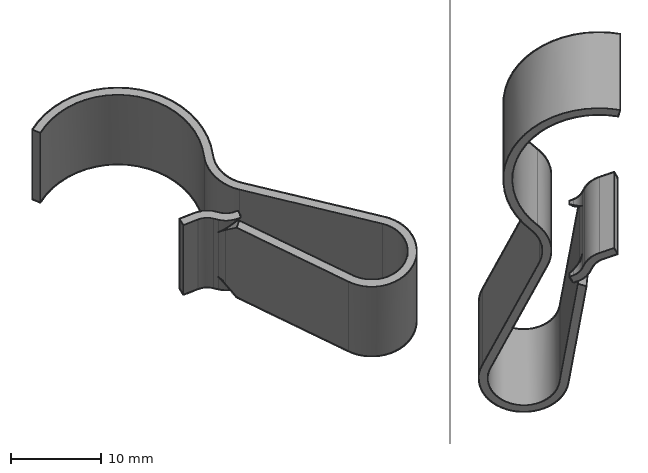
import cadquery as cq
import math

thickness = 1.0
width = 12.7
half = thickness / 2

hook_outer_radius = 10.65
hook_tip_angle = 9.6
back_top_y = 1.4
reverse_inner_radius = 4.55

overall_length = 46.0
loop_outer_radius = 5.0
arm_slope = 14.6
arm_length = 15.95

arm_bend_radius = 4.05
lip_flat_length = 0.55
lip_bend_radius = 2.85
lip_angle = 43.0
lip_tip_length = 1.8

ear_size = 2.3
ear_bend_radius = 2.6
ear_angle = 40.0
ear_tip_length = 0.55


def offset_point(point, heading, distance):
    """Point at a distance to the left of a heading in degrees."""
    angle = math.radians(heading + 90)
    return (point[0] + distance * math.cos(angle), point[1] + distance * math.sin(angle))


def advance(point, heading, length):
    """Point reached by moving straight along a heading."""
    return offset_point(point, heading - 90, length)


def bend(point, heading, radius, turn):
    """End point and heading of a centreline arc; positive turns go left."""
    side = math.copysign(radius, turn)
    centre = offset_point(point, heading, side)
    return offset_point(centre, heading + turn, -side), heading + turn


def make_strip(start, heading, segments):
    """Extrude a strip along (straight length, 0) and (bend radius, turn) segments.

    Returns the strip and the centreline point after each segment.
    """
    stations = [(start, heading)]
    middles = []
    for size, turn in segments:
        point, heading = stations[-1]
        if turn:
            middles.append(bend(point, heading, size, turn / 2))
            stations.append(bend(point, heading, size, turn))
        else:
            middles.append(None)
            stations.append((advance(point, heading, size), heading))

    def draw_edge(outline, ends, mids, side):
        for end, middle in zip(ends, mids):
            if middle:
                outline = outline.threePointArc(
                    offset_point(*middle, side), offset_point(*end, side))
            else:
                outline = outline.lineTo(*offset_point(*end, side))
        return outline

    outline = cq.Workplane("XY").moveTo(*offset_point(*stations[0], half))
    outline = draw_edge(outline, stations[1:], middles, half)
    outline = outline.lineTo(*offset_point(*stations[-1], -half))
    outline = draw_edge(outline, stations[-2::-1], middles[::-1], -half)
    return outline.close().extrude(width), [point for point, _ in stations[1:]]


hook_radius = hook_outer_radius - half
reverse_radius = reverse_inner_radius + half
centre_distance = hook_radius + reverse_radius
reverse_angle = math.asin((back_top_y + reverse_inner_radius) / centre_distance)
reverse_x = centre_distance * math.cos(reverse_angle)
reverse_turn = 90 - math.degrees(reverse_angle)

tip_reach = hook_outer_radius * math.cos(math.radians(hook_tip_angle))
loop_x = overall_length - tip_reach - loop_outer_radius
back_length = loop_x - reverse_x

hook_turn = 180 - hook_tip_angle - math.degrees(reverse_angle)
hook_start = advance((0, 0), 180 - hook_tip_angle, hook_radius)
clip, bend_points = make_strip(
    hook_start,
    90 - hook_tip_angle,
    [
        (hook_radius, -hook_turn),
        (reverse_radius, reverse_turn),
        (back_length, 0),
        (loop_outer_radius - half, -(180 + arm_slope)),
        (arm_length, 0),
        (arm_bend_radius, arm_slope),
        (lip_flat_length, 0),
        (lip_bend_radius, lip_angle),
        (lip_tip_length, 0),
    ],
)
ear_root = bend_points[5]

ear_zone_top = back_top_y - 2 * thickness
ear_zone_depth = 2 * loop_outer_radius


def corner_prism(edge_z, inward):
    """Right-angled corner at one strip edge, narrowing inward (+1 up, -1 down)."""
    root_x = ear_root[0]
    return (
        cq.Workplane("XZ", origin=(0, ear_zone_top, 0))
        .polyline([
            (root_x, edge_z),
            (root_x + ear_size, edge_z),
            (root_x, edge_z + inward * ear_size),
        ])
        .close()
        .extrude(ear_zone_depth)
    )


ear_strip, _ = make_strip(
    ear_root, 0, [(ear_bend_radius, ear_angle), (ear_tip_length, 0)])
result = clip
for edge_z, inward in ((0, 1), (width, -1)):
    corner = corner_prism(edge_z, inward)
    result = result.cut(corner).union(ear_strip.intersect(corner))